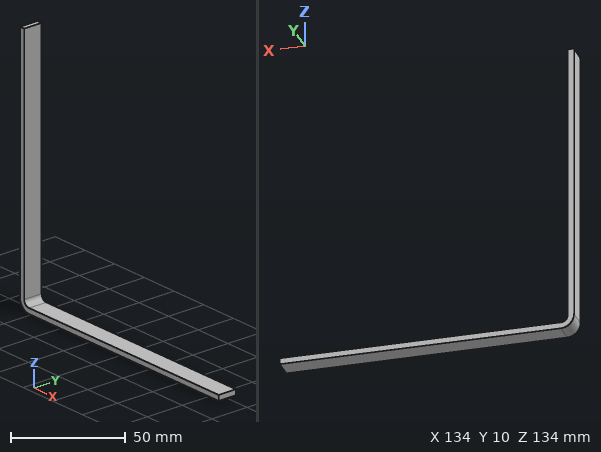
import cadquery as cq

leg_length = 134.0
strip_width = 10.0
thickness = 3.0
inner_bend_radius = 3.1
outer_bend_radius = inner_bend_radius + thickness

profile = (
    cq.Workplane("XZ")
    .polyline([
        (0, 0),
        (leg_length, 0),
        (leg_length, thickness),
        (thickness, thickness),
        (thickness, leg_length),
        (0, leg_length),
    ])
    .close()
)
bracket = profile.extrude(strip_width / 2, both=True)

corner_reach = thickness / 2
outer_corner = cq.selectors.BoxSelector(
    (-corner_reach, -strip_width, -corner_reach),
    (corner_reach, strip_width, corner_reach),
)
inner_corner = cq.selectors.BoxSelector(
    (thickness - corner_reach, -strip_width, thickness - corner_reach),
    (thickness + corner_reach, strip_width, thickness + corner_reach),
)
bracket = bracket.edges("|Y").edges(outer_corner).fillet(outer_bend_radius)
result = bracket.edges("|Y").edges(inner_corner).fillet(inner_bend_radius)